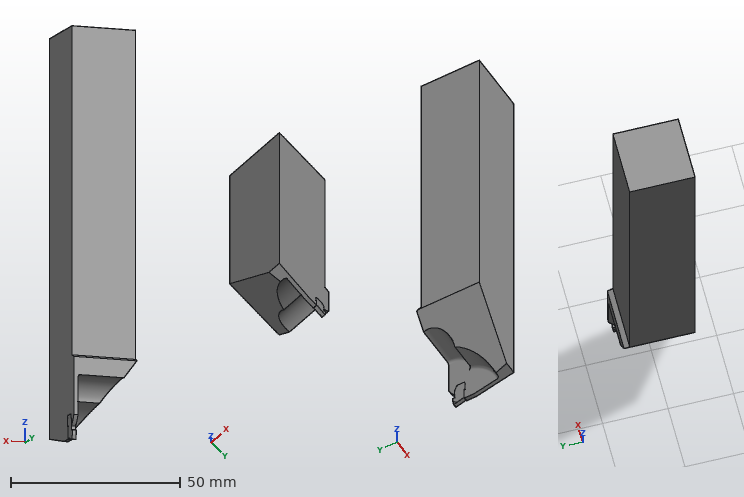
import cadquery as cq
import math

shank_width = 19.96
shank_depth = 20.0
tool_length = 125.0

head_depth = 21.69
head_height = 25.0
ledge_rise = 0.55
ledge_depth = 21.25
ledge_edge_drop = 0.25
wedge_slope = 4 / 3

blade_thickness = 1.3
blade_floor = shank_width - blade_thickness
blade_bottom = 0.75
bottom_angle = math.radians(14)
bottom_bend_y = 12.85
corner_start_z = 7.2
corner_end_z = 4.2
corner_mid_y = 20.85
corner_mid_z = 5.65

upper_disc_center = (20.0, 13.4)
upper_disc_radius = 6.2
lower_disc_center = (19.0, -1.7)
lower_disc_radius = 15.5
pocket_fillet = 0.9

insert_top = 7.95
insert_top_front_y = 16.3
insert_top_back_y = 18.85
insert_shoulder_z = 7.2
insert_front_y = 16.0
insert_step_z = 4.7
insert_stem_y = 16.35
insert_bottom_z = 1.15
insert_back_y = 19.6
insert_back_top_z = 6.0
hook_top_z = 2.9
hook_y = 20.3
hook_low_z = 1.4
tip_y = 20.0
groove_step_z = 1.6
groove_step_angle = 40
groove_tilt = 5


def side_plane(x):
    """Sketch plane at the given X whose axes are the part's Y and Z."""
    return cq.Workplane("YZ", origin=(x, 0, 0))


def insert_blank():
    """Insert outline carried through the blade thickness."""
    return (
        side_plane(blade_floor)
        .moveTo(insert_top_front_y, insert_top)
        .lineTo(insert_top_back_y, insert_top)
        .lineTo(insert_back_y, insert_back_top_z)
        .lineTo(insert_back_y, hook_top_z)
        .lineTo(hook_y, hook_top_z)
        .lineTo(hook_y, hook_low_z)
        .lineTo(tip_y, 0)
        .lineTo(insert_stem_y, insert_bottom_z)
        .lineTo(insert_stem_y, insert_step_z)
        .lineTo(insert_front_y, insert_step_z)
        .lineTo(insert_front_y, insert_shoulder_z)
        .close()
        .extrude(blade_thickness)
    )


def chip_groove():
    """Wedge that starts at the tip and deepens inward to a step along a slanting line."""
    tip = cq.Vector(blade_floor, tip_y, 0)
    step_start = cq.Vector(blade_floor, hook_y, groove_step_z)
    step_angle = math.radians(groove_step_angle)
    inward = cq.Vector(0, -math.sin(step_angle), math.cos(step_angle))
    groove_width = (step_start - tip).dot(inward)
    groove_depth = groove_width * math.tan(math.radians(groove_tilt))
    along_step = inward.cross(cq.Vector(1, 0, 0))
    section = cq.Plane(origin=tip.toTuple(), xDir=inward.toTuple(), normal=along_step.toTuple())
    return (
        cq.Workplane(section)
        .polyline([(0, 0), (groove_width, 0), (groove_width, groove_depth)])
        .close()
        .extrude(insert_top, both=True)
    )


def head_profile():
    """Side outline of the shank and head, carried across the full width."""
    front_bottom = blade_bottom + bottom_bend_y * math.tan(bottom_angle)
    return (
        side_plane(0)
        .moveTo(0, tool_length)
        .lineTo(0, front_bottom)
        .lineTo(bottom_bend_y, blade_bottom)
        .lineTo(insert_stem_y, blade_bottom)
        .lineTo(insert_stem_y, corner_end_z)
        .lineTo(insert_back_y, corner_end_z)
        .threePointArc((corner_mid_y, corner_mid_z), (head_depth, corner_start_z))
        .lineTo(head_depth, head_height - ledge_edge_drop)
        .lineTo(ledge_depth, head_height)
        .lineTo(shank_depth, head_height + ledge_rise)
        .lineTo(shank_depth, tool_length)
        .close()
        .extrude(shank_width)
    )


def wedge_cut():
    """Material removed below the sloping face on the -X side of the head."""
    wedge_run = head_height / wedge_slope
    return (
        cq.Workplane("XZ", origin=(0, head_depth, 0))
        .polyline([(0, head_height), (wedge_run, 0), (0, 0)])
        .close()
        .extrude(head_depth)
    )


def relief_pocket():
    """Two-disc pocket that ends at the blade face with a rounded rim."""
    upper = side_plane(0).center(*upper_disc_center).circle(upper_disc_radius).extrude(blade_floor)
    lower = side_plane(0).center(*lower_disc_center).circle(lower_disc_radius).extrude(blade_floor)
    return upper.union(lower).faces(">X").edges().fillet(pocket_fillet)


holder = head_profile().cut(wedge_cut()).cut(relief_pocket()).cut(insert_blank())
insert = insert_blank().cut(chip_groove())

result = cq.Compound.makeCompound([holder.val(), insert.val()])